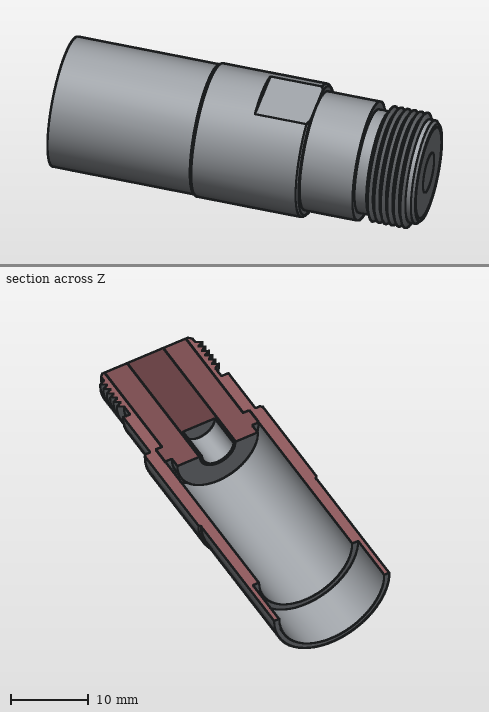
import cadquery as cq


overall_length = 48.4
collar_start = 18.95
flat_start = 26.28
collar_end = 33.45
shoulder_end = 40.45
thread_start = 42.0

sleeve_radius = 8.5
collar_radius = 8.735
shoulder_radius = 7.8
nose_radius = 6.77
collar_chamfer = 0.3
nose_chamfer = 0.45
flat_height = 7.95

thread_ring_count = 6
thread_pitch = 0.85
thread_crest_radius = 7.55

entry_bore_radius = 7.75
entry_bore_depth = 6.77
main_bore_radius = 6.85
main_bore_end = collar_end
front_bore_radius = 5.95

insulator_flange_length = 2.4
insulator_boss_length = 1.45
insulator_start = main_bore_end - insulator_flange_length - insulator_boss_length
contact_radius = 2.6
cup_radius = 2.3
cup_depth = 4.85


def cylinder(radius, start, end):
    """Solid cylinder on the X axis between two stations."""
    return cq.Workplane("YZ", origin=(start, 0, 0)).circle(radius).extrude(end - start)


def revolve_profile(points):
    """Solid of revolution about the X axis from (x, radius) points."""
    return (
        cq.Workplane("XY")
        .polyline(points)
        .close()
        .revolve(360, (0, 0, 0), (1, 0, 0))
    )


def make_collar():
    """Gripping collar with chamfered ends and two opposite wrench flats."""
    collar = cylinder(collar_radius, collar_start, collar_end)
    collar = collar.edges().chamfer(collar_chamfer)
    flat_length = collar_end - flat_start
    cut_height = collar_radius
    for side in (1, -1):
        cutter = cq.Workplane("XY").box(flat_length, 2 * collar_radius, cut_height).translate(
            (flat_start + flat_length / 2, 0, side * (flat_height + cut_height / 2))
        )
        collar = collar.cut(cutter)
    return collar


def make_thread():
    """Threaded stretch: a zigzag profile of V rings rising from the nose surface."""
    profile = [(thread_start, 0), (thread_start, nose_radius)]
    for ring in range(thread_ring_count):
        ring_start = thread_start + ring * thread_pitch
        profile.append((ring_start + thread_pitch / 2, thread_crest_radius))
        profile.append((ring_start + thread_pitch, nose_radius))
    thread_end = thread_start + thread_ring_count * thread_pitch
    profile.append((thread_end, 0))
    return revolve_profile(profile)


def make_housing():
    """Sleeve, collar, shoulder and threaded nose in one piece, with a stepped through bore."""
    sleeve = cylinder(sleeve_radius, 0, collar_start)
    shoulder = cylinder(shoulder_radius, collar_end, shoulder_end)
    nose = cylinder(nose_radius, shoulder_end, overall_length)
    nose = nose.faces(">X").edges().chamfer(nose_chamfer)
    outside = sleeve.union(make_collar()).union(shoulder).union(nose).union(make_thread())
    entry_bore = cylinder(entry_bore_radius, 0, entry_bore_depth)
    main_bore = cylinder(main_bore_radius, 0, main_bore_end)
    front_bore = cylinder(front_bore_radius, 0, overall_length)
    return outside.cut(entry_bore).cut(main_bore).cut(front_bore)


def make_insulator():
    """Rod in the front bore, with a flange seated on the main bore floor and a hole for the contact."""
    rod = cylinder(front_bore_radius, insulator_start, overall_length)
    flange = cylinder(main_bore_radius, main_bore_end - insulator_flange_length, main_bore_end)
    contact_hole = cylinder(contact_radius, insulator_start, overall_length)
    return rod.union(flange).cut(contact_hole)


def make_contact():
    """Centre contact with a blind cup facing the cable end."""
    contact = cylinder(contact_radius, insulator_start, overall_length)
    return contact.cut(cylinder(cup_radius, insulator_start, insulator_start + cup_depth))


housing = make_housing()
insulator = make_insulator()
contact = make_contact()

result = cq.Compound.makeCompound([housing.val(), insulator.val(), contact.val()])